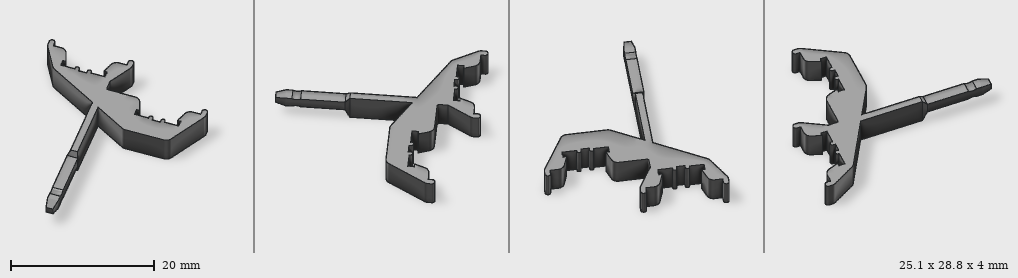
import cadquery as cq
import math

thickness = 4.0
total_length = 28.8

cradle_pitch_x = 12.67
cradle_pitch_y = -5.2
half_width = 6.22
arm_top = 4.03
finger_width = 0.8
shoulder_height = 3.05
hook_half_gap = 2.76
hook_height = 0.9
hook_lean = math.radians(20)
pocket_half_width = 3.25
bump_offset = 0.9
bump_width = 0.6
bump_top = 0.45
centre_recess = 0.17

wall_bend_height = 2.85
wall_lean = math.radians(30)
base_depth = 3.15
base_left = 3.8
outer_radius = 1.0
step_radius = 0.35

stem_x = 3.7
stem_width = 1.05
pin_width = 1.58
pin_height = 1.6
pin_z = 2.62
tip_width = 1.05
tip_height = 0.98
tip_length = 1.45
groove_start = 2.33
groove_end = 3.55
groove_depth = 0.17
pin_length = 9.75
taper_length = 0.63

finger_radius = finger_width / 2
bump_radius = bump_width / 2
finger_inner = half_width - finger_width
shoulder_corner = hook_half_gap + (shoulder_height - hook_height) * math.tan(hook_lean)
stem_right = stem_x + stem_width / 2
pin_end_y = arm_top - total_length
step_y = cradle_pitch_y + shoulder_height
base_y = cradle_pitch_y - base_depth

base_right_x = cradle_pitch_x + half_width - (wall_bend_height + base_depth) * math.tan(wall_lean)
base_left_x = cradle_pitch_x - base_left

underside_slope = math.tan(wall_lean)
underside_at_left = base_y + (base_left_x + half_width) * underside_slope
wall_drop = (wall_bend_height - underside_at_left) / (1 - underside_slope * math.tan(wall_lean))
left_corner = (
    -half_width + wall_drop * math.tan(wall_lean),
    wall_bend_height - wall_drop,
)
step_wall_top = wall_bend_height - (half_width - stem_right) / math.tan(wall_lean)


def extrude_outline(points):
    return cq.Workplane("XY").polyline(points).close().extrude(thickness)


def round_corners(body, corners, radius):
    """Round the vertical edges that stand on the given corner points."""
    reach = 0.03
    for x, y in corners:
        box = cq.selectors.BoxSelector(
            (x - reach, y - reach, -reach), (x + reach, y + reach, thickness + reach)
        )
        body = body.edges("|Z").edges(box).fillet(radius)
    return body


def make_blank():
    """Outer outline, level with the shoulders across each cradle."""
    left_bend = (-half_width, wall_bend_height)
    inner_bend = (half_width, wall_bend_height)
    right_bend = (cradle_pitch_x + half_width, cradle_pitch_y + wall_bend_height)
    step_corner = (stem_right, step_y)
    base_right = (base_right_x, base_y)
    base_left_corner = (base_left_x, base_y)
    blank = extrude_outline([
        (-half_width, shoulder_height),
        left_bend,
        left_corner,
        base_left_corner,
        base_right,
        right_bend,
        (cradle_pitch_x + half_width, step_y),
        step_corner,
        (stem_right, step_wall_top),
        inner_bend,
        (half_width, shoulder_height),
    ])
    for side in (-1, 1):
        blank = blank.union(make_finger(side))
    blank = blank.union(make_finger(1).translate((cradle_pitch_x, cradle_pitch_y, 0)))
    blank = blank.clean()
    outer_corners = [left_bend, inner_bend, right_bend, left_corner, base_left_corner, base_right]
    blank = round_corners(blank, outer_corners, outer_radius)
    return round_corners(blank, [step_corner], step_radius)


def make_finger(side):
    """Round-ended finger standing above a shoulder."""
    outer = side * half_width
    inner = side * finger_inner
    round_start = arm_top - finger_radius
    return (
        cq.Workplane("XY")
        .moveTo(outer, wall_bend_height)
        .lineTo(outer, round_start)
        .threePointArc(((outer + inner) / 2, arm_top), (inner, round_start))
        .lineTo(inner, wall_bend_height)
        .close()
        .extrude(thickness)
    )


def make_cradle_cut():
    """Opening between the hooks, undercut pocket and recess between the bumps."""
    throat = extrude_outline([
        (-hook_half_gap, hook_height),
        (hook_half_gap, hook_height),
        (shoulder_corner, shoulder_height),
        (-shoulder_corner, shoulder_height),
    ])
    pocket = (
        cq.Workplane("XY")
        .center(0, hook_height / 2)
        .rect(2 * pocket_half_width, hook_height)
        .extrude(thickness)
    )
    recess = (
        cq.Workplane("XY")
        .center(0, -centre_recess / 2)
        .rect(2 * bump_offset - bump_width, centre_recess)
        .extrude(thickness)
    )
    return throat.union(pocket).union(recess)


def make_bump(x):
    round_start = bump_top - bump_radius
    return (
        cq.Workplane("XY")
        .moveTo(x - bump_radius, -centre_recess)
        .lineTo(x + bump_radius, -centre_recess)
        .lineTo(x + bump_radius, round_start)
        .threePointArc((x, bump_top), (x - bump_radius, round_start))
        .close()
        .extrude(thickness)
    )


def add_cradle(body, x, y):
    body = body.cut(make_cradle_cut().translate((x, y, 0)))
    shoulders = [(x + side * shoulder_corner, y + shoulder_height) for side in (-1, 1)]
    body = round_corners(body, shoulders, outer_radius)
    for offset in (-bump_offset, bump_offset):
        body = body.union(make_bump(offset).translate((x, y, 0)))
    return body


def loft_along_stem(start, length, start_size, end_size, start_z, end_z):
    """Tapered block along +Y; start is measured from the end of the pin."""
    plane = cq.Plane(origin=(stem_x, pin_end_y + start, 0), xDir=(1, 0, 0), normal=(0, 1, 0))
    return (
        cq.Workplane(plane)
        .center(0, -start_z)
        .rect(*start_size)
        .workplane(offset=length)
        .center(0, start_z - end_z)
        .rect(*end_size)
        .loft(ruled=True)
    )


def make_pin():
    """Rectangular pin with a tapered tip and a shallow round groove above and below."""
    pin_size = (pin_width, pin_height)
    tip = loft_along_stem(0, tip_length, (tip_width, tip_height), pin_size, pin_z, pin_z)
    shank = loft_along_stem(tip_length, pin_length - tip_length, pin_size, pin_size, pin_z, pin_z)
    pin = tip.union(shank)
    groove_middle = pin_end_y + (groove_start + groove_end) / 2
    for side in (-1, 1):
        face_z = pin_z + side * pin_height / 2
        groove = (
            cq.Workplane("YZ", origin=(stem_x, 0, 0))
            .moveTo(pin_end_y + groove_start, face_z)
            .threePointArc((groove_middle, face_z - side * groove_depth), (pin_end_y + groove_end, face_z))
            .close()
            .extrude(pin_width, both=True)
        )
        pin = pin.cut(groove)
    return pin


def make_stem():
    """Full-height stem, ending inside the plate, with a taper down to the pin."""
    stem_start = pin_end_y + pin_length + taper_length
    stem_end = step_y - step_radius
    stem = (
        cq.Workplane("XY")
        .moveTo(stem_x - stem_width / 2, stem_start)
        .lineTo(stem_right, stem_start)
        .lineTo(stem_right, stem_end)
        .lineTo(stem_x - stem_width / 2, stem_end)
        .close()
        .extrude(thickness)
    )
    taper = loft_along_stem(
        pin_length, taper_length, (pin_width, pin_height), (stem_width, thickness), pin_z, thickness / 2
    )
    return stem.union(taper)


body = make_blank()
for cradle in range(2):
    body = add_cradle(body, cradle * cradle_pitch_x, cradle * cradle_pitch_y)

result = body.union(make_stem()).union(make_pin())